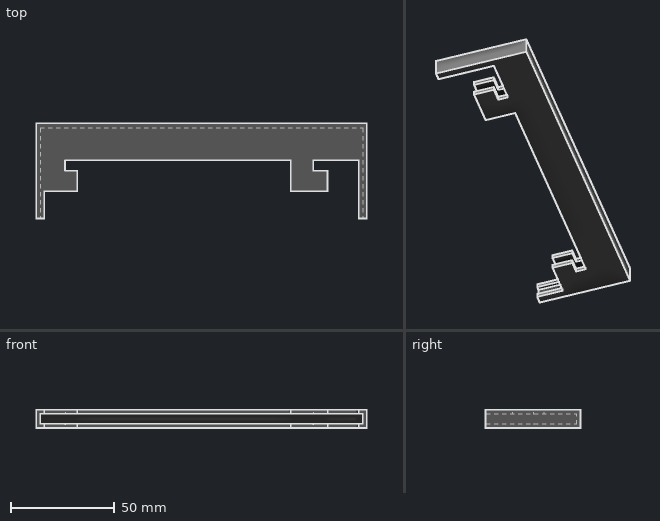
import cadquery as cq

length = 160.0
depth = 46.0
height = 9.0

wall = 2.0
leg_width = 4.0

band_depth = 18.0
notch_depth = 22.9
hook_depth = 33.0

left_neck_end = 14.0
left_hook_end = 20.0
right_hook_start = 123.0
right_neck_end = 134.0
right_hook_end = 141.0

left = -length / 2
right = length / 2
rear = depth / 2
front = -depth / 2
band_front = rear - band_depth
notch_front = rear - notch_depth
hook_front = rear - hook_depth


def make_body():
    """Frame with a leg at each end and two hooks facing +X."""
    outline = [
        (left, rear),
        (left, front),
        (left + leg_width, front),
        (left + leg_width, hook_front),
        (left + left_hook_end, hook_front),
        (left + left_hook_end, notch_front),
        (left + left_neck_end, notch_front),
        (left + left_neck_end, band_front),
        (left + right_hook_start, band_front),
        (left + right_hook_start, hook_front),
        (left + right_hook_end, hook_front),
        (left + right_hook_end, notch_front),
        (left + right_neck_end, notch_front),
        (left + right_neck_end, band_front),
        (right - leg_width, band_front),
        (right - leg_width, front),
        (right, front),
        (right, rear),
    ]
    return cq.Workplane("XY").workplane(offset=-height / 2).polyline(outline).close().extrude(height)


def make_channel():
    """Cavity between the two plates, closed at the rear and both ends, open at the front."""
    cavity = cq.Workplane("XY").box(length - 2 * wall, depth - wall, height - 2 * wall)
    return cavity.translate((0, -wall / 2, 0))


result = make_body().cut(make_channel())